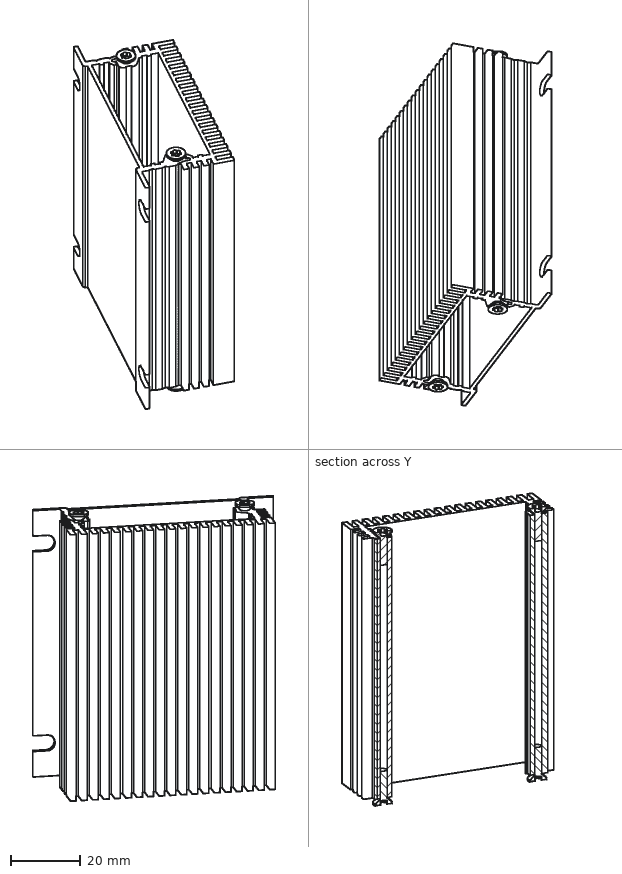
import cadquery as cq

total_height = 84.0
body_height = 80.0
flange_span = 71.0
total_depth = 28.6
top_y = total_depth / 2
bottom_y = -total_depth / 2

wall_outer_x = -27.6
wall_inner_x = -25.45
joint_y = -1.7
wall_length = 10.1

back_outer_y = 9.5
back_inner_y = 8.3
fin_span = 60.5
fin_count = 19
fin_width = 1.7
fin_pitch = (fin_span - fin_width) / (fin_count - 1)
fin_tip_radius = 0.2
corner_fin_bottom_y = 7.9
side_fin_count = 3
side_fin_pitch = 3.0
side_fin_width = 1.6
side_fin_first_y = 5.8

plate_inner_y = joint_y - wall_length
plate_outer_y = -13.0
flange_inner_y = -12.9
flange_tip_radius = 0.4
flange_root_radius = 0.4
foot_chamfer = 0.6
slot_width = 4.7
slot_end_x = -29.1
slot_offset_z = 30.0

groove_count = 3
groove_pitch = 4.0
groove_half_width = 1.0
groove_depth = 0.4

screw_x = -24.5
screw_offset_z = body_height / 2
shaft_diameter = 2.7
boss_tip_x = -21.4
boss_shoulder_x = -22.4
boss_root_x = -24.9
boss_tip_half = 2.1
boss_tip_radius = 1.7
boss_shoulder_half = 2.7
boss_root_half = 4.0
boss_foot_half = 5.0
boss_ring_radius = 2.35
recess_width = 1.7
recess_depth = 0.5
boss_bottom_y = -4.45
tongue_outer_x = -26.4
tongue_width = 1.2
tongue_inner_x = tongue_outer_x + tongue_width
tongue_tip_y = -5.55
hook_top_y = -4.7
hook_tip_x = -23.6
hook_tip_y = -5.55
hook_root_y = -6.55
rib_distance = 7.1
rib_width = 1.3
rib_height = boss_root_x - wall_inner_x

head_diameter = 5.55
head_height = total_height / 2 - screw_offset_z
cone_height = (head_diameter - shaft_diameter) / 2
shaft_length = 8.4
socket_diameter = 3.0
socket_lobe_count = 6
socket_lobe_diameter = 0.9
socket_core_diameter = 2.35
socket_depth = 1.2
socket_tip_depth = 0.7


def block(x0, x1, y0, y1):
    """Full-height bar between two X and two Y positions."""
    centre = ((x0 + x1) / 2, (y0 + y1) / 2, 0)
    return cq.Workplane("XY").box(x1 - x0, y1 - y0, body_height).translate(centre)


def prism(points):
    """Full-height bar with a polygonal section."""
    return cq.Workplane("XY").polyline(points).close().extrude(body_height / 2, both=True)


def bar_at_screw(radius):
    """Full-height round bar on the -X screw axis."""
    return cq.Workplane("XY").center(screw_x, joint_y).circle(radius).extrude(body_height / 2, both=True)


def half_turn(shape):
    """The shape turned by 180 degrees about the centre of the joint."""
    return shape.rotate((0, joint_y, 0), (0, joint_y, 1), 180)


def mirrored_pair(shape):
    """The shape together with its mirror image on the other side."""
    return shape.union(shape.mirror("YZ"))


def board_rib(y):
    """Small rib along the inner face of the -X wall."""
    return block(wall_inner_x, wall_inner_x + rib_height, y - rib_width / 2, y + rib_width / 2)


def ring_with_tongue():
    """Round core of the boss and its round-ended tongue, the shape that the hook side wraps around."""
    tip_radius = tongue_width / 2
    ring = bar_at_screw(boss_ring_radius)
    tongue = (
        cq.Workplane("XY")
        .moveTo(tongue_outer_x, joint_y)
        .lineTo(tongue_outer_x, tongue_tip_y + tip_radius)
        .threePointArc(
            (tongue_outer_x + tip_radius, tongue_tip_y),
            (tongue_inner_x, tongue_tip_y + tip_radius),
        )
        .lineTo(tongue_inner_x, joint_y)
        .close()
        .extrude(body_height / 2, both=True)
    )
    return ring.union(tongue)


def tongue_side():
    """-X wall above the joint, with the screw boss and the tongue below it."""
    wall = block(wall_outer_x, wall_inner_x, joint_y, joint_y + wall_length)
    boss = prism(
        [
            (tongue_outer_x, joint_y + boss_foot_half),
            (boss_root_x, joint_y + boss_foot_half),
            (boss_root_x, joint_y + boss_root_half),
            (boss_tip_x, joint_y + boss_tip_half),
            (boss_tip_x, joint_y - boss_tip_half),
            (boss_shoulder_x, joint_y - boss_shoulder_half),
            (boss_shoulder_x, boss_bottom_y),
            (tongue_inner_x, boss_bottom_y),
            (tongue_inner_x, joint_y),
            (tongue_outer_x, joint_y),
        ]
    )
    boss = boss.edges("|Z and >X").fillet(boss_tip_radius)
    channel = bar_at_screw(shaft_diameter / 2)
    recess = block(
        boss_tip_x - recess_depth, boss_tip_x, joint_y - recess_width / 2, joint_y + recess_width / 2
    )
    side = wall.union(boss).union(ring_with_tongue()).union(board_rib(joint_y + rib_distance))
    return side.cut(channel).cut(recess)


def hook_side():
    """-X wall below the joint, with the outer lip and the hook around the tongue."""
    lip = block(wall_outer_x, tongue_inner_x, hook_root_y, joint_y)
    wall = block(wall_outer_x, wall_inner_x, plate_inner_y, hook_root_y)
    hook = prism(
        [
            (tongue_inner_x, hook_root_y),
            (boss_root_x, hook_root_y),
            (hook_tip_x, hook_tip_y),
            (hook_tip_x, hook_top_y),
            (tongue_inner_x, hook_top_y),
        ]
    )
    side = lip.union(wall).union(hook).union(board_rib(joint_y - rib_distance))
    return side.cut(ring_with_tongue())


def wall_grooves():
    """V grooves in both outer faces; the first one runs along the joint."""
    grooves = cq.Workplane("XY")
    for i in range(groove_count):
        y = joint_y - i * groove_pitch
        groove = prism(
            [
                (wall_outer_x, y + groove_half_width),
                (wall_outer_x + groove_depth, y),
                (wall_outer_x, y - groove_half_width),
            ]
        )
        grooves = grooves.add(mirrored_pair(groove))
    return grooves.combine()


def back_fin(x):
    """Fin on the back, centred at x, with rounded tip corners."""
    fin = block(x - fin_width / 2, x + fin_width / 2, back_inner_y, top_y)
    return fin.edges("|Z and >Y").fillet(fin_tip_radius)


def side_fin(y):
    """Matching fins on both side walls, centred at y."""
    fin = block(-fin_span / 2, wall_outer_x + groove_depth, y - side_fin_width / 2, y + side_fin_width / 2)
    return mirrored_pair(fin.edges("|Z and <X").fillet(fin_tip_radius))


def make_heat_sink():
    """Finned back with both upper walls: tongue at -X, hook at +X."""
    sink = tongue_side().union(half_turn(hook_side())).cut(wall_grooves())
    sink = sink.union(block(-fin_span / 2, fin_span / 2, back_inner_y, back_outer_y))
    sink = sink.union(mirrored_pair(block(-fin_span / 2, wall_inner_x, corner_fin_bottom_y, back_outer_y)))
    for i in range(fin_count):
        sink = sink.union(back_fin(-fin_span / 2 + fin_width / 2 + i * fin_pitch))
    for i in range(side_fin_count):
        sink = sink.union(side_fin(side_fin_first_y - i * side_fin_pitch))
    return sink


def mounting_foot():
    """Lower end of the -X wall with its slotted flange."""
    foot = prism(
        [
            (wall_inner_x, plate_inner_y),
            (wall_outer_x, plate_inner_y),
            (wall_outer_x, flange_inner_y),
            (-flange_span / 2, flange_inner_y),
            (-flange_span / 2, bottom_y),
            (wall_inner_x - foot_chamfer, bottom_y),
            (wall_inner_x, bottom_y + foot_chamfer),
        ]
    )
    foot = foot.edges("|Z and <X").fillet(flange_tip_radius)
    root = cq.selectors.NearestToPointSelector((wall_outer_x, flange_inner_y, 0))
    foot = foot.edges(root).fillet(flange_root_radius)
    slot_reach = slot_end_x + flange_span / 2
    slots = (
        cq.Workplane("XZ", origin=(0, plate_inner_y, 0))
        .pushPoints([(-flange_span / 2, z) for z in (-slot_offset_z, slot_offset_z)])
        .slot2D(2 * slot_reach, slot_width)
        .extrude(total_depth)
    )
    return foot.cut(slots)


def make_base():
    """Base plate with flanges and both lower walls: hook at -X, tongue at +X."""
    plate = block(wall_inner_x, -wall_inner_x, plate_outer_y, plate_inner_y)
    base = hook_side().union(half_turn(tongue_side()))
    return base.cut(wall_grooves()).union(mirrored_pair(mounting_foot())).union(plate)


def make_screw():
    """Countersunk-head screw pointing down, its head top at the upper end of the part."""
    top_z = total_height / 2
    cylinder_height = head_height - cone_height
    screw = (
        cq.Workplane("XZ")
        .moveTo(0, top_z)
        .lineTo(head_diameter / 2, top_z)
        .lineTo(head_diameter / 2, top_z - cylinder_height)
        .lineTo(shaft_diameter / 2, top_z - head_height)
        .lineTo(shaft_diameter / 2, top_z - head_height - shaft_length)
        .lineTo(0, top_z - head_height - shaft_length)
        .close()
        .revolve(360, (0, 0, 0), (0, 1, 0))
    )
    lobe_circle = (socket_diameter - socket_lobe_diameter) / 2
    core = cq.Workplane("XY", origin=(0, 0, top_z)).circle(socket_core_diameter / 2).extrude(-socket_depth)
    lobes = (
        cq.Workplane("XY", origin=(0, 0, top_z))
        .polarArray(lobe_circle, 0, 360, socket_lobe_count)
        .circle(socket_lobe_diameter / 2)
        .extrude(-socket_depth)
    )
    tip = cq.Solid.makeCone(
        socket_core_diameter / 2,
        0,
        socket_tip_depth,
        cq.Vector(0, 0, top_z - socket_depth),
        cq.Vector(0, 0, -1),
    )
    return screw.cut(core).cut(lobes).cut(cq.Workplane(tip))


heat_sink = make_heat_sink()
base = make_base()

upper_screw = make_screw()
lower_screw = upper_screw.mirror("XY")
screws = cq.Workplane("XY")
for x in (screw_x, -screw_x):
    for screw in (upper_screw, lower_screw):
        screws = screws.add(screw.translate((x, joint_y, 0)))

result = cq.Compound.makeCompound([heat_sink.val(), base.val(), *screws.vals()])